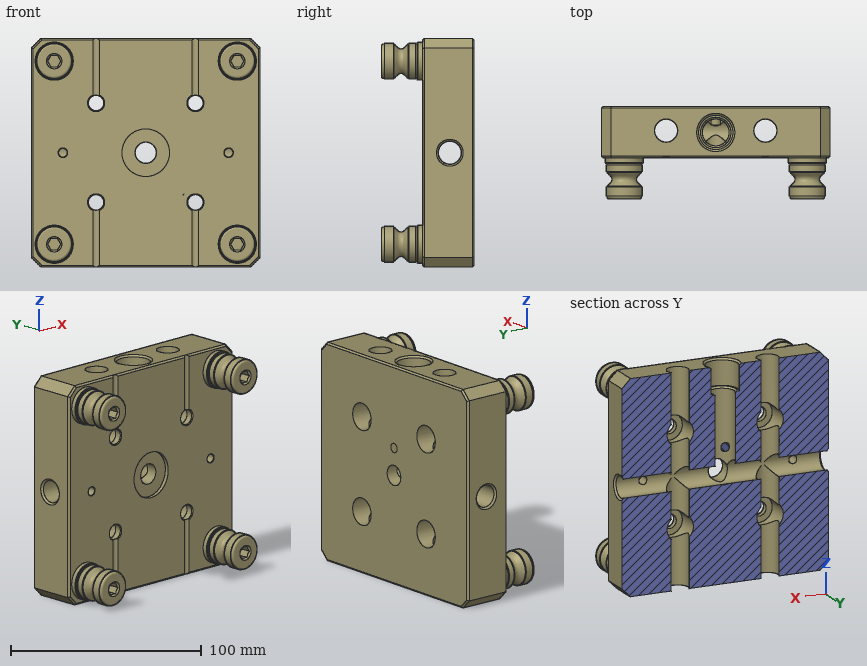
import cadquery as cq
import math

SIDE = 120.0
HALF_SIDE = SIDE / 2
THICKNESS = 27.0
CORNER_CHAMFER = 5.0
RIM_CHAMFER = 1.0

CHANNEL_DIAMETER = 12.0
CHANNEL_DEPTH = 14.3
CROSS_MOUTH_DIAMETER = 14.0
CROSS_MOUTH_CHAMFER = (CROSS_MOUTH_DIAMETER - CHANNEL_DIAMETER) / 2
PORT_SPACING = 52.1
PORT_OFFSET = PORT_SPACING / 2
PORT_DIAMETER = 8.0
PORT_MOUTH_DIAMETER = 9.0
PORT_COUNTERBORE_DIAMETER = 15.0
PORT_NECK_LENGTH = 4.0
PORT_CHAMFER = (PORT_MOUTH_DIAMETER - PORT_DIAMETER) / 2

BORE_DEPTH_FROM_FRONT = 13.3
BORE_DIAMETER = 18.0
BORE_MOUTH_DIAMETER = 20.0
BORE_LEDGE_Z = 45.0
INNER_BORE_DIAMETER = 14.0
INNER_BORE_MOUTH_DIAMETER = 16.0
INNER_BORE_BOTTOM_Z = -1.9

RECESS_DIAMETER = 25.0
RECESS_DEPTH = 2.2
CENTRE_HOLE_DIAMETER = 11.0
GROOVE_DIAMETER = 4.2
GROOVE_DEPTH = 0.9
VENT_OFFSET = 43.5
VENT_DIAMETER = 4.5
VENT_MOUTH_DIAMETER = 5.0
VENT_CHAMFER = (VENT_MOUTH_DIAMETER - VENT_DIAMETER) / 2

PIN_DIAMETER = 5.0
PIN_Z = 15.0
PIN_TIP_Y = 17.3

STUD_OFFSET = 48.0
STUD_LENGTH = 21.6
COLLAR_DIAMETER = 20.0
COLLAR_LENGTH = 2.5
COLLAR_RIM_DIAMETER = 19.7
COLLAR_RIM_LENGTH = 0.4
CORE_DIAMETER = 18.2
CORE_RADIUS = CORE_DIAMETER / 2
BAND_DIAMETER = 19.0
BAND_SPANS = ((3.7, 7.2), (15.2, 19.9))
NECK_CENTRE = 11.3
NECK_HALF_WIDTH = 3.6
NECK_FILLET = 2.3
END_FACE_DIAMETER = 16.0
END_ROUND = (CORE_DIAMETER - END_FACE_DIAMETER) / 2
SOCKET_WIDTH = 6.0
SOCKET_DEPTH = 7.2
SOCKET_MOUTH_DIAMETER = 8.0

BACKWARD = cq.Vector(0, 1, 0)
FORWARD = cq.Vector(0, -1, 0)
DOWN = cq.Vector(0, 0, -1)
RIGHTWARD = cq.Vector(1, 0, 0)


def cylinder(diameter, length, start, direction):
    return cq.Workplane(cq.Solid.makeCylinder(diameter / 2, length, cq.Vector(*start), direction))


def mouth_cone(mouth_diameter, hole_diameter, depth, start, direction):
    """Countersink that narrows from the mouth to the hole."""
    return cq.Workplane(
        cq.Solid.makeCone(mouth_diameter / 2, hole_diameter / 2, depth, cq.Vector(*start), direction)
    )


def plate():
    return (
        cq.Workplane("XY")
        .box(SIDE, THICKNESS, SIDE, centered=(True, False, True))
        .edges("|Y")
        .chamfer(CORNER_CHAMFER)
        .faces("<Y or >Y")
        .chamfer(RIM_CHAMFER)
    )


def channels():
    """Cross channel along X with chamfered ends, and two channels along Z."""
    cross_start = (-HALF_SIDE, CHANNEL_DEPTH, 0)
    cross_end = (HALF_SIDE, CHANNEL_DEPTH, 0)
    cuts = cylinder(CHANNEL_DIAMETER, SIDE, cross_start, RIGHTWARD)
    for mouth, inward in ((cross_start, RIGHTWARD), (cross_end, -RIGHTWARD)):
        cuts = cuts.union(
            mouth_cone(CROSS_MOUTH_DIAMETER, CHANNEL_DIAMETER, CROSS_MOUTH_CHAMFER, mouth, inward)
        )
    for x in (-PORT_OFFSET, PORT_OFFSET):
        cuts = cuts.union(cylinder(CHANNEL_DIAMETER, SIDE, (x, CHANNEL_DEPTH, HALF_SIDE), DOWN))
    return cuts


def screw_bore():
    """Stepped bore from the top side, turned about its own axis."""
    mouth_chamfer = (BORE_MOUTH_DIAMETER - BORE_DIAMETER) / 2
    ledge_chamfer = (INNER_BORE_MOUTH_DIAMETER - INNER_BORE_DIAMETER) / 2
    return (
        cq.Workplane("XZ", origin=(0, BORE_DEPTH_FROM_FRONT, 0))
        .moveTo(0, HALF_SIDE)
        .lineTo(BORE_MOUTH_DIAMETER / 2, HALF_SIDE)
        .lineTo(BORE_DIAMETER / 2, HALF_SIDE - mouth_chamfer)
        .lineTo(BORE_DIAMETER / 2, BORE_LEDGE_Z)
        .lineTo(INNER_BORE_MOUTH_DIAMETER / 2, BORE_LEDGE_Z)
        .lineTo(INNER_BORE_DIAMETER / 2, BORE_LEDGE_Z - ledge_chamfer)
        .lineTo(INNER_BORE_DIAMETER / 2, INNER_BORE_BOTTOM_Z)
        .lineTo(0, INNER_BORE_BOTTOM_Z)
        .close()
        .revolve(360, (0, 0, 0), (0, 1, 0))
    )


def centre_hole():
    recess = cylinder(RECESS_DIAMETER, RECESS_DEPTH, (0, 0, 0), BACKWARD)
    return recess.union(cylinder(CENTRE_HOLE_DIAMETER, THICKNESS, (0, 0, 0), BACKWARD))


def port(x, z):
    """Through hole with a chamfered front mouth and a back counterbore, and a groove to the nearest edge."""
    outward = cq.Vector(0, 0, math.copysign(1, z))
    groove_centre_y = GROOVE_DEPTH - GROOVE_DIAMETER / 2
    counterbore_depth = THICKNESS - PORT_NECK_LENGTH
    return (
        cylinder(PORT_DIAMETER, THICKNESS, (x, 0, z), BACKWARD)
        .union(cylinder(PORT_COUNTERBORE_DIAMETER, counterbore_depth, (x, THICKNESS, z), FORWARD))
        .union(mouth_cone(PORT_MOUTH_DIAMETER, PORT_DIAMETER, PORT_CHAMFER, (x, 0, z), BACKWARD))
        .union(cylinder(GROOVE_DIAMETER, HALF_SIDE - PORT_OFFSET, (x, groove_centre_y, z), outward))
    )


def vent(x):
    """Small front hole that opens into the cross channel."""
    drill = cylinder(VENT_DIAMETER, CHANNEL_DEPTH, (x, 0, 0), BACKWARD)
    return drill.union(mouth_cone(VENT_MOUTH_DIAMETER, VENT_DIAMETER, VENT_CHAMFER, (x, 0, 0), BACKWARD))


def make_pin():
    return cylinder(PIN_DIAMETER, THICKNESS - PIN_TIP_Y, (0, PIN_TIP_Y, PIN_Z), BACKWARD)


def make_housing():
    body = plate().cut(channels()).cut(screw_bore()).cut(centre_hole())
    for x in (-PORT_OFFSET, PORT_OFFSET):
        for z in (-PORT_OFFSET, PORT_OFFSET):
            body = body.cut(port(x, z))
    for x in (-VENT_OFFSET, VENT_OFFSET):
        body = body.cut(vent(x))
    return body.cut(make_pin())


def stud_core():
    """Turned core with a necked waist and a rounded end, standing on Y = 0 and growing along +Y."""
    v_bottom_radius = CORE_RADIUS - NECK_HALF_WIDTH
    tangent_offset = NECK_FILLET / math.sqrt(2)
    tangent_radius = v_bottom_radius + tangent_offset
    neck_radius = v_bottom_radius + NECK_FILLET * (math.sqrt(2) - 1)
    round_middle = END_ROUND * math.sqrt(0.5)
    round_start = STUD_LENGTH - END_ROUND
    return (
        cq.Workplane("XY")
        .lineTo(CORE_RADIUS, 0)
        .lineTo(CORE_RADIUS, NECK_CENTRE - NECK_HALF_WIDTH)
        .lineTo(tangent_radius, NECK_CENTRE - tangent_offset)
        .threePointArc((neck_radius, NECK_CENTRE), (tangent_radius, NECK_CENTRE + tangent_offset))
        .lineTo(CORE_RADIUS, NECK_CENTRE + NECK_HALF_WIDTH)
        .lineTo(CORE_RADIUS, round_start)
        .threePointArc(
            (END_FACE_DIAMETER / 2 + round_middle, round_start + round_middle),
            (END_FACE_DIAMETER / 2, STUD_LENGTH),
        )
        .lineTo(0, STUD_LENGTH)
        .close()
        .revolve(360, (0, 0, 0), (0, 1, 0))
    )


def stud_collar():
    """Foot of the stud, with a slightly smaller rim on its outer end."""
    rim = cylinder(COLLAR_RIM_DIAMETER, COLLAR_RIM_LENGTH, (0, COLLAR_LENGTH, 0), BACKWARD)
    return cylinder(COLLAR_DIAMETER, COLLAR_LENGTH, (0, 0, 0), BACKWARD).union(rim)


def stud_socket():
    """Hexagon socket with a conical mouth, cut into the stud end."""
    corner_diameter = SOCKET_WIDTH / math.cos(math.pi / 6)
    mouth_depth = (SOCKET_MOUTH_DIAMETER - SOCKET_WIDTH) / 2
    hexagon = (
        cq.Workplane("XZ", origin=(0, STUD_LENGTH, 0))
        .polygon(6, corner_diameter)
        .extrude(SOCKET_DEPTH)
    )
    return hexagon.union(
        mouth_cone(SOCKET_MOUTH_DIAMETER, SOCKET_WIDTH, mouth_depth, (0, STUD_LENGTH, 0), FORWARD)
    )


def make_stud(x, z):
    """Stud turned end for end so that it points away from the front face."""
    stud = stud_core().union(stud_collar())
    for start, end in BAND_SPANS:
        stud = stud.union(cylinder(BAND_DIAMETER, end - start, (0, start, 0), BACKWARD))
    stud = stud.cut(stud_socket())
    return stud.rotate((0, 0, 0), (0, 0, 1), 180).translate((x, 0, z))


housing = make_housing()
pin = make_pin()
studs = []
for stud_x in (-STUD_OFFSET, STUD_OFFSET):
    for stud_z in (-STUD_OFFSET, STUD_OFFSET):
        studs.append(make_stud(stud_x, stud_z).val())

result = cq.Compound.makeCompound([*housing.vals(), *pin.vals(), *studs])